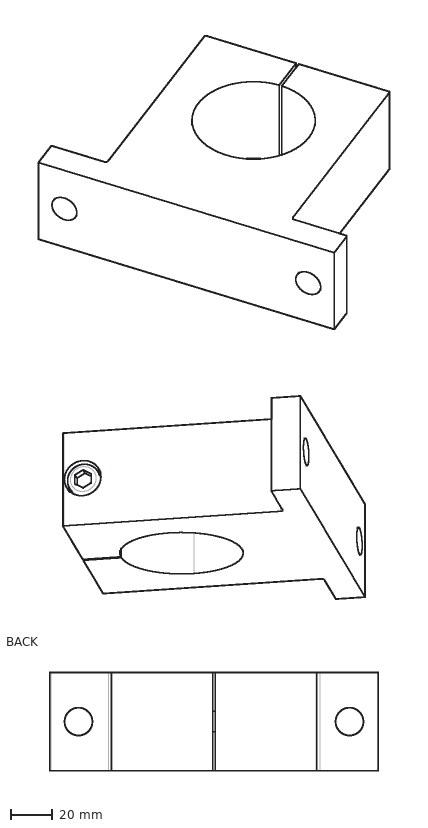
import cadquery as cq
import math

flange_length = 160.0
flange_thickness = 14.5
depth = 48.0
mount_hole_diameter = 13.5
mount_hole_spacing = 131.8

body_width = 100.0
total_height = 124.0
bore_diameter = 60.0
bore_center_y = 75.0
slit_width = 1.5
edge_radius = 0.5
inner_corner_radius = 1.5

screw_from_top = 10.0
screw_y = total_height - screw_from_top
shank_diameter = 10.0
shank_end_cover = 10.0
head_diameter = 16.0
head_height = 10.0
head_edge_radius = 1.6
hex_across_flats = 8.0
hex_depth = 5.0
head_recess = 1.0
counterbore_diameter = 18.0
counterbore_depth = head_height + head_recess

body_left = -body_width / 2


def corner_edges(width, y):
    """Selector for the Z edges at the two corners, width apart, at height y."""
    margin = 0.2
    left = cq.selectors.BoxSelector(
        (-width / 2 - margin, y - margin, -depth), (-width / 2 + margin, y + margin, depth)
    )
    right = cq.selectors.BoxSelector(
        (width / 2 - margin, y - margin, -depth), (width / 2 + margin, y + margin, depth)
    )
    return left + right


def make_bracket():
    """T-shaped block with rounded edges, centred on X and Z, standing on Y = 0."""
    flange = cq.Workplane("XY").box(flange_length, flange_thickness, depth, centered=(True, False, True))
    body = cq.Workplane("XY").box(body_width, total_height, depth, centered=(True, False, True))
    bracket = flange.union(body)
    bracket = bracket.edges(corner_edges(body_width, flange_thickness)).fillet(inner_corner_radius)
    bracket = bracket.edges(corner_edges(flange_length, flange_thickness)).fillet(edge_radius)
    return bracket.edges(corner_edges(body_width, total_height)).fillet(edge_radius)


def cut_bore_and_slit(bracket):
    """Shaft bore along Z, split open to the top of the body."""
    bore = cq.Workplane("XY").center(0, bore_center_y).circle(bore_diameter / 2).extrude(depth / 2, both=True)
    slit = cq.Workplane("XY").box(
        slit_width, total_height - bore_center_y, depth, centered=(True, False, True)
    ).translate((0, bore_center_y, 0))
    return bracket.cut(bore).cut(slit)


def cut_mount_holes(bracket):
    """Two plain holes through the flange along Y."""
    for x in (-mount_hole_spacing / 2, mount_hole_spacing / 2):
        hole = cq.Workplane("XZ").center(x, 0).circle(mount_hole_diameter / 2).extrude(-flange_thickness)
        bracket = bracket.cut(hole)
    return bracket


def screw_plane(x):
    """Plane across the screw axis at x, with its normal pointing into the body."""
    return cq.Workplane("YZ", origin=(x, screw_y, 0))


def make_screw():
    """Socket head screw whose shank bridges the slit."""
    head_face = body_left + head_recess
    head = screw_plane(head_face).circle(head_diameter / 2).extrude(head_height)
    head = head.faces("<X").edges().fillet(head_edge_radius)
    socket = screw_plane(head_face).transformed(rotate=(0, 0, 30))
    socket = socket.polygon(6, hex_across_flats / math.cos(math.radians(30))).extrude(hex_depth)
    shank_start = body_left + counterbore_depth
    shank_length = body_width - counterbore_depth - shank_end_cover
    shank = screw_plane(shank_start).circle(shank_diameter / 2).extrude(shank_length)
    return head.union(shank).cut(socket)


counterbore = screw_plane(body_left).circle(counterbore_diameter / 2).extrude(counterbore_depth)
bracket = cut_mount_holes(cut_bore_and_slit(make_bracket()))
result = bracket.cut(counterbore).union(make_screw())